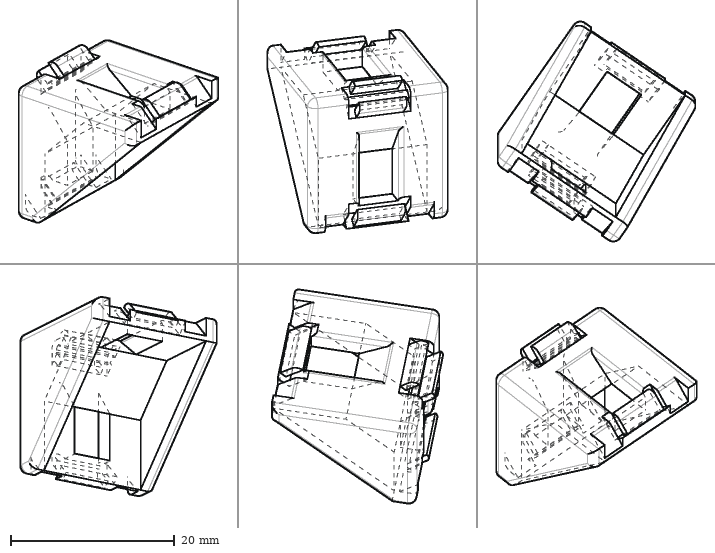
import cadquery as cq
import math


side = 18.0
wall = 3.0
outer_radius = 1.0
cavity_width = 13.99
gusset_offset = 12.0

window_width = 5.09
window_start = 5.01
window_end = side - wall
edge_radius = 0.5

seat_width = 8.0
groove_start = 14.3
groove_end = 18.9
corner_seat = 2.95
ridge_offset = 0.75
ridge_top = 2.2
end_bevel_offset = 15.65

clip_width = 6.08
clip_thickness = 1.0
corner_clip_height = 19.35 - side
end_clip_height = 0.65
end_clip_offset = 15.38
bevel_turn = math.pi / 4
root_overlap = 0.2

clip_span = clip_thickness * math.sqrt(2)


def extrude_profile(profile, width):
    """Extrude a closed XZ profile symmetrically about y = 0."""
    return profile.close().extrude(width / 2, both=True)


def prism(points, width):
    return extrude_profile(cq.Workplane("XZ").polyline(points), width)


def other_arm(shape):
    return shape.mirror((1, 0, 1))


def crossing(falling, rising):
    """Point where x + z = falling meets x - z = rising."""
    return (falling + rising) / 2, (falling - rising) / 2


def make_body():
    outline = [(0, 0), (side, 0), (side, -wall), (wall, -side), (0, -side)]
    body = prism(outline, side)
    body = body.faces("<X").edges("|Y").fillet(outer_radius)
    body = body.faces("<Y or >Y").edges().fillet(outer_radius)
    cavity = [
        (gusset_offset - wall, -wall),
        (2 * side, -wall),
        (2 * side, -2 * side),
        (wall, -2 * side),
        (wall, wall - gusset_offset),
    ]
    return body.cut(prism(cavity, cavity_width))


def make_window():
    """Cutter for an opening with a sloped corner-side wall and a rounded, flared rim."""
    slope_end = (gusset_offset - wall, -wall)
    opening = prism(
        [(window_start, 0), (window_end, 0), (window_end, -wall), slope_end], window_width
    )
    block = cq.Workplane("XY").box(4 * side, side, side).translate((0, 0, -side / 2))
    rim_sides = cq.selectors.BoxSelector(
        (0, -window_width, -0.2), (window_end - 0.2, window_width, 0.2)
    )
    rounded = block.cut(opening).faces(">Z").edges(rim_sides).fillet(edge_radius)
    return block.cut(rounded)


def make_end_bevel():
    """Beveled end of the arm between the side walls, with a rounded top edge."""
    setback = edge_radius * math.tan(bevel_turn / 2)
    drop = setback * math.sin(bevel_turn)
    mid_run = edge_radius * math.sin(bevel_turn / 2)
    sag = edge_radius * (1 - math.cos(bevel_turn / 2))
    start = end_bevel_offset - setback
    profile = (
        cq.Workplane("XZ")
        .moveTo(start, 0)
        .threePointArc((start + mid_run, -sag), (end_bevel_offset + drop, -drop))
        .lineTo(end_bevel_offset + side, -side)
        .lineTo(end_bevel_offset + side, 0)
    )
    bevel = extrude_profile(profile, cavity_width)
    tongue = cq.Workplane("XY").box(4 * side, seat_width, 4 * side)
    return bevel.cut(tongue)


def make_groove():
    """V groove across the arm end, open above."""
    return prism(
        [(groove_start, 0), crossing(groove_start, groove_end), (groove_end, 0)], seat_width
    )


def make_corner_cut():
    """Diagonal flat across the outer corner, leaving a central ridge."""
    return prism(
        [
            (0, 0),
            (corner_seat, 0),
            crossing(ridge_offset, corner_seat),
            crossing(ridge_offset, ridge_top),
            crossing(-ridge_offset, ridge_top),
            crossing(-ridge_offset, corner_seat),
            (0, -corner_seat),
        ],
        seat_width,
    )


def make_clip(offset, seat, height):
    """45 degree strip with a quarter-round tip, rising from the face x - z = seat."""
    center_z = height - clip_thickness
    half_span = clip_span / 2
    center_x = offset - center_z
    root = seat + root_overlap
    profile = (
        cq.Workplane("XZ")
        .moveTo(*crossing(offset, root))
        .lineTo(center_x - half_span, center_z + half_span)
        .threePointArc(
            (center_x, center_z + clip_thickness), (center_x + half_span, center_z + half_span)
        )
        .lineTo(*crossing(offset + clip_span, root))
    )
    return extrude_profile(profile, clip_width)


result = make_body().cut(make_corner_cut())
for cutter in (make_window(), make_end_bevel(), make_groove()):
    result = result.cut(cutter).cut(other_arm(cutter))

corner_clip = make_clip(corner_seat - clip_span, corner_seat, corner_clip_height)
end_clip = make_clip(end_clip_offset, groove_end, end_clip_height)
for clip in (corner_clip, end_clip):
    result = result.union(clip).union(other_arm(clip))